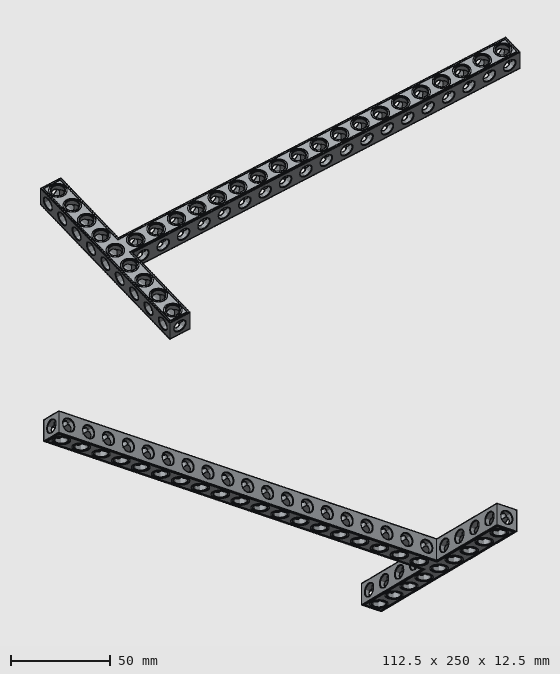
import cadquery as cq

pitch = 12.5
half = pitch / 2
bar_holes = 9
stem_holes = 20
bar_length = bar_holes * pitch
stem_length = stem_holes * pitch

hole_diameter = 7.0
edge_chamfer = 0.3

lip_diameter = 9.2
lip_width = (lip_diameter - hole_diameter) / 2
recess_depth = 0.2

bar_centers = [((i - (bar_holes - 1) / 2) * pitch, 0) for i in range(bar_holes)]
stem_centers = [(0, i * pitch) for i in range(1, stem_holes)]
grid = bar_centers + stem_centers

along_x = cq.Vector(1, 0, 0)
along_y = cq.Vector(0, 1, 0)
along_z = cq.Vector(0, 0, 1)


def t_prism(bottom, height, inset=0):
    """T-shaped prism whose outline is moved inward by the inset."""
    width = pitch - 2 * inset
    stem_end = stem_length - half - inset
    base = cq.Workplane("XY", origin=(0, 0, bottom))
    bar = base.rect(bar_length - 2 * inset, width).extrude(height)
    stem = base.center(0, stem_end / 2).rect(width, stem_end).extrude(height)
    return bar.union(stem)


def hole_cutter(start, direction, length):
    """Cylinder with a chamfer cone at each end."""
    radius = hole_diameter / 2
    rim_radius = radius + edge_chamfer
    end = start + direction * length
    shaft = cq.Solid.makeCylinder(radius, length, start, direction)
    near_cone = cq.Solid.makeCone(rim_radius, radius, edge_chamfer, start, direction)
    far_cone = cq.Solid.makeCone(rim_radius, radius, edge_chamfer, end, direction * -1)
    return cq.Workplane(shaft.fuse(near_cone, far_cone))


def face_recess(bottom):
    """Recess volume: the inset T without the round lips of the holes."""
    lips = (
        cq.Workplane("XY", origin=(0, 0, bottom))
        .pushPoints(grid)
        .circle(lip_diameter / 2)
        .extrude(recess_depth)
    )
    return t_prism(bottom, recess_depth, lip_width).cut(lips)


body = t_prism(-half, pitch).faces("<Z or >Z").edges().chamfer(edge_chamfer)
for recess_bottom in (-half, half - recess_depth):
    body = body.cut(face_recess(recess_bottom))

for x, y in grid:
    body = body.cut(hole_cutter(cq.Vector(x, y, -half), along_z, pitch))

for x, y in bar_centers:
    depth = stem_length if x == 0 else pitch
    body = body.cut(hole_cutter(cq.Vector(x, y - half, 0), along_y, depth))

for x, y in stem_centers:
    body = body.cut(hole_cutter(cq.Vector(x - half, y, 0), along_x, pitch))
body = body.cut(hole_cutter(cq.Vector(-bar_length / 2, 0, 0), along_x, bar_length))

result = body